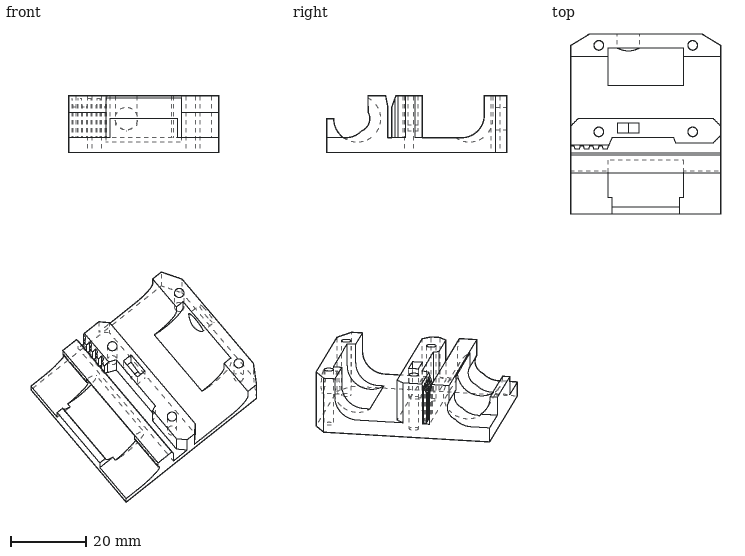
import cadquery as cq
import math

width = 40.0
length = 48.0
height = 15.15
mid_x = width / 2
floor_z = 4.0
floor_corner_radius = 6.0
axis_z = 9.0
cut_margin = 0.5

rear_wall_y = 41.95
rear_corner_chamfer_x = 5.0
rear_corner_chamfer_y = 3.0

rib_rear_y = 25.5
rib_front_y = 18.15
rib_right_front_y = 19.0
rib_corner_chamfer = 2.0
notch_y = 20.4
notch_left_x = 11.05
notch_right_x = 27.4
notch_left_slope = 0.43
notch_right_slope = 0.38

tooth_count = 4
tooth_pitch = 2.5
first_tooth_x = 1.75
tooth_height = 0.8
tooth_base = 1.65
tooth_tip = 1.15
tooth_tip_y = rib_front_y - tooth_height

slot_front_y = 16.3
mouth_depth = 3.0
mouth_rear_run = 1.1
mouth_front_run = 0.6

front_wall_y = 11.0
front_axis_y = 7.95
rod_radius = 3.5
front_corner_y = 5.05

front_bearing_y = 8.15
bearing_radius = 6.25
bearing_length = 20.0
bearing_left_x = mid_x - bearing_length / 2
rear_axis_y = 38.0
lip_length = 17.9

screw_diameter = 2.5
screw_spacing_x = 25.0
rear_screw_y = 45.0
rib_screw_y = 21.95
bolt_x = 15.35
bolt_diameter = 6.0
nut_width = 5.75
nut_front_y = 21.7
nut_thickness = 2.6


def box(x0, x1, y0, y1, z0, z1):
    return cq.Workplane("XY").box(x1 - x0, y1 - y0, z1 - z0, centered=False).translate((x0, y0, z0))


def rod_along_x(radius, y, z, x0, x1):
    return cq.Workplane("YZ", origin=(x0, y, z)).circle(radius).extrude(x1 - x0)


def plate_prism(points):
    """Plan outline raised from the floor to the top."""
    return cq.Workplane("XY", origin=(0, 0, floor_z)).polyline(points).close().extrude(height - floor_z)


def base_and_rear_wall():
    corner_z = floor_z + floor_corner_radius
    corner_y = rear_wall_y - floor_corner_radius
    arc_offset = floor_corner_radius * math.sqrt(0.5)
    profile = (
        cq.Workplane("YZ")
        .lineTo(length, 0)
        .lineTo(length, height)
        .lineTo(rear_wall_y, height)
        .lineTo(rear_wall_y, corner_z)
        .threePointArc((corner_y + arc_offset, corner_z - arc_offset), (corner_y, floor_z))
        .lineTo(0, floor_z)
        .close()
        .extrude(width)
    )
    outline = [
        (0, 0),
        (width, 0),
        (width, length - rear_corner_chamfer_y),
        (width - rear_corner_chamfer_x, length),
        (rear_corner_chamfer_x, length),
        (0, length - rear_corner_chamfer_y),
    ]
    return profile.intersect(cq.Workplane("XY").polyline(outline).close().extrude(height))


def toothed_rib():
    c = rib_corner_chamfer
    notch_front_x = notch_left_x - notch_left_slope * (notch_y - rib_front_y)
    notch_tip_x = notch_left_x - notch_left_slope * (notch_y - tooth_tip_y)
    rib = plate_prism([
        (0, rib_front_y),
        (notch_front_x, rib_front_y),
        (notch_left_x, notch_y),
        (notch_right_x, notch_y),
        (notch_right_x + notch_right_slope * (notch_y - rib_right_front_y), rib_right_front_y),
        (width - c, rib_right_front_y),
        (width, rib_right_front_y + c),
        (width, rib_rear_y - c),
        (width - c, rib_rear_y),
        (c, rib_rear_y),
        (0, rib_rear_y - c),
    ])
    for i in range(tooth_count):
        x = first_tooth_x + i * tooth_pitch
        tooth = plate_prism([
            (x - tooth_base / 2, rib_front_y),
            (x - tooth_tip / 2, tooth_tip_y),
            (x + tooth_tip / 2, tooth_tip_y),
            (x + tooth_base / 2, rib_front_y),
        ])
        rib = rib.union(tooth)
    rib = rib.cut(plate_prism([
        (notch_left_x, notch_y),
        (notch_tip_x, tooth_tip_y),
        (notch_left_x, tooth_tip_y),
    ]))
    mouth = (
        cq.Workplane("YZ")
        .polyline([
            (tooth_tip_y, height - mouth_depth),
            (tooth_tip_y + mouth_rear_run, height),
            (tooth_tip_y, height),
        ])
        .close()
        .extrude(notch_left_x)
    )
    return rib.cut(mouth)


def front_block():
    corner_z = floor_z + floor_corner_radius
    arc_mid = floor_corner_radius * math.sqrt(0.5)
    block = (
        cq.Workplane("YZ")
        .moveTo(front_corner_y, floor_z)
        .threePointArc(
            (front_corner_y + arc_mid, corner_z - arc_mid),
            (front_corner_y + floor_corner_radius, corner_z),
        )
        .lineTo(front_wall_y, height)
        .lineTo(slot_front_y - mouth_front_run, height)
        .lineTo(slot_front_y, height - mouth_depth)
        .lineTo(slot_front_y, floor_z)
        .close()
        .extrude(width)
    )
    return block.cut(rod_along_x(rod_radius, front_axis_y, axis_z, 0, width))


def bearing_pocket(y):
    return rod_along_x(bearing_radius, y, axis_z, bearing_left_x, bearing_left_x + bearing_length)


def front_lip():
    return box(mid_x - lip_length / 2, mid_x + lip_length / 2, 0, front_axis_y, floor_z, axis_z)


def rear_pocket_opening():
    """Straight way into the rear bearing pocket from above."""
    return box(
        bearing_left_x, bearing_left_x + bearing_length,
        rear_axis_y, rear_axis_y + bearing_radius,
        axis_z, height + cut_margin,
    )


def screw_holes():
    centers = [
        (mid_x + side * screw_spacing_x / 2, y)
        for side in (-1, 1)
        for y in (rib_screw_y, rear_screw_y)
    ]
    return cq.Workplane("XY").pushPoints(centers).circle(screw_diameter / 2).extrude(height)


def bolt_hole():
    """Round hole through the rear wall."""
    return (
        cq.Workplane("XZ", origin=(bolt_x, rear_axis_y, axis_z))
        .circle(bolt_diameter / 2)
        .extrude(-(length - rear_axis_y))
    )


def nut_trap():
    """Slot open at the top, ending below in the lower half of a hexagon."""
    half = nut_width / 2
    side = nut_width / math.sqrt(3)
    return (
        cq.Workplane("XZ", origin=(bolt_x, nut_front_y, 0))
        .polyline([
            (0, axis_z - side),
            (half, axis_z - side / 2),
            (half, height),
            (-half, height),
            (-half, axis_z - side / 2),
        ])
        .close()
        .extrude(-nut_thickness)
    )


body = base_and_rear_wall().union(toothed_rib()).union(front_block()).union(front_lip())
for pocket_y in (front_bearing_y, rear_axis_y):
    body = body.cut(bearing_pocket(pocket_y))
result = body.cut(rear_pocket_opening()).cut(screw_holes()).cut(bolt_hole()).cut(nut_trap())